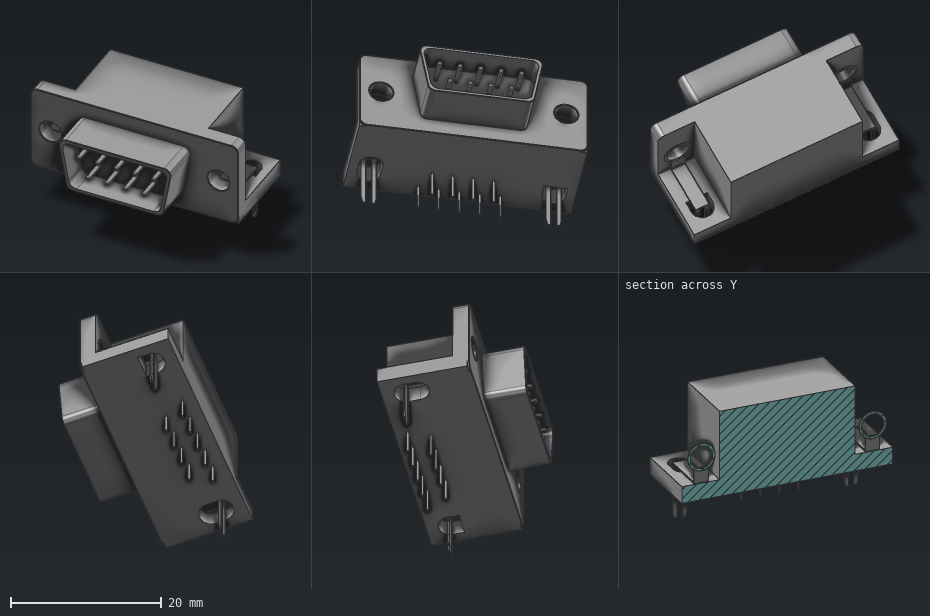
import cadquery as cq
import math


overall_width = 30.8
housing_height = 12.5
plate_front_to_back = 12.65
corner_radius = 1.0
body_width = 19.8
ear_thickness = 2.5
flange_thickness = 2.01

plate_thickness = 0.3
plate_edge_chamfer = 0.1

mount_spacing = 25.0
mount_hole_diameter = 3.2
boss_diameter = 4.0
mid_height = housing_height / 2

shell_length = 5.79
shell_width = 16.56
shell_height = 7.9
shell_corner_radius = 1.0
shell_wall = 0.45
shell_slant = 10.0
shell_edge_chamfer = 0.08
cavity_depth = 3.75
cavity_lower_radius = 1.2

contact_pitch = 2.77
row_spacing = 2.84
upper_row_count = 5
lower_row_count = 4
contact_diameter = 0.6
contact_tip_fillet = 0.2
contact_tip_recess = 0.25
tail_diameter = 0.3
tail_length = 3.9
tail_tip_chamfer = 0.1

slot_width = 3.2
slot_center_spacing = 1.6
slot_back_margin = 1.65
bracket_width = 2.06
sheet_thickness = 0.2
boss_thickness = 0.08
tab_clearance = 0.14
bracket_from_back = 3.15
leg_gap = 0.82
leg_length = 5.4
leg_taper_height = 0.85
leg_taper_inset = 0.2

back_y = plate_front_to_back
flange_front_y = plate_thickness
flange_back_y = flange_front_y + flange_thickness
bracket_back_y = back_y - bracket_from_back
tail_mid_y = bracket_back_y - sheet_thickness / 2
shell_front_y = -shell_length
cavity_floor_y = shell_front_y + cavity_depth
contact_tip_y = shell_front_y + contact_tip_recess
mount_centers = [-mount_spacing / 2, mount_spacing / 2]


def block(x_min, x_max, y_min, y_max, z_min, z_max):
    """Box between the given limits."""
    size = (x_max - x_min, y_max - y_min, z_max - z_min)
    return cq.Workplane("XY").box(*size, centered=False).translate((x_min, y_min, z_min))


def cylinder_along_y(x, z, diameter, y_front, y_back):
    """Cylinder parallel to Y between two Y positions."""
    profile = cq.Workplane("XZ", origin=(x, y_back, z)).circle(diameter / 2)
    return profile.extrude(y_back - y_front)


def make_housing():
    """Full-height body with a front flange and two low ears."""
    half_width = overall_width / 2
    half_body = body_width / 2
    flange = block(-half_width, half_width, flange_front_y, flange_back_y, 0, housing_height)
    flange = flange.edges("|Y and >Z").fillet(corner_radius)
    body = block(-half_body, half_body, flange_back_y, back_y, 0, housing_height)
    ears = block(-half_width, half_width, flange_back_y, back_y, 0, ear_thickness)
    return flange.union(body).union(ears)


def make_front_plate():
    """Thin plate with rounded corners and a chamfered front edge."""
    half_width = overall_width / 2
    plate = block(-half_width, half_width, 0, plate_thickness, 0, housing_height)
    plate = plate.edges("|Y").fillet(corner_radius)
    return plate.faces("<Y").edges().chamfer(plate_edge_chamfer)


def make_shell_profile(inset, lower_radius, y_front, y_back):
    """Rounded D-shaped prism whose sides are moved inward by the inset."""
    slant = math.radians(shell_slant)
    half_height = shell_height / 2
    corner_x = shell_width / 2 - shell_corner_radius
    corner_z = half_height - shell_corner_radius
    side_reach = (shell_corner_radius - inset) / math.cos(slant)

    def side_x(z):
        return corner_x + side_reach + (z - corner_z) * math.tan(slant)

    z_limit = half_height - inset
    upper_x = side_x(z_limit)
    lower_x = side_x(-z_limit)
    points = [(-upper_x, z_limit), (upper_x, z_limit), (lower_x, -z_limit), (-lower_x, -z_limit)]
    sketch_plane = cq.Workplane("XZ", origin=(0, y_back, mid_height))
    prism = sketch_plane.polyline(points).close().extrude(y_back - y_front)
    prism = prism.edges("|Y and >Z").fillet(shell_corner_radius)
    return prism.edges("|Y and <Z").fillet(lower_radius)


def make_shell():
    """Hollow D-shaped shell, open to the front."""
    shell = make_shell_profile(0, shell_corner_radius, shell_front_y, 0)
    shell = shell.faces("<Y").edges().chamfer(shell_edge_chamfer)
    cavity = make_shell_profile(shell_wall, cavity_lower_radius, shell_front_y, cavity_floor_y)
    return shell.cut(cavity)


def add_contact_row(part, count, z, tail_y):
    """Row of mating pins and the solder tails under the housing that belong to them."""
    for index in range(count):
        x = (index - (count - 1) / 2) * contact_pitch
        pin = cylinder_along_y(x, z, contact_diameter, contact_tip_y, cavity_floor_y)
        pin = pin.faces("<Y").edges().fillet(contact_tip_fillet)
        tail = cq.Workplane("XY", origin=(x, tail_y, -tail_length)).circle(tail_diameter / 2)
        tail = tail.extrude(tail_length).faces("<Z").edges().chamfer(tail_tip_chamfer)
        part = part.union(pin).union(tail)
    return part


def add_bosses(part):
    """Flat round bosses around the mounting holes on the back of the flange."""
    boss_back_y = flange_back_y + boss_thickness
    for x in mount_centers:
        part = part.union(cylinder_along_y(x, mid_height, boss_diameter, flange_back_y, boss_back_y))
    return part


def cut_mount_holes(part):
    """Through holes, chamfered at the front face."""
    rim_diameter = mount_hole_diameter + 2 * plate_edge_chamfer
    hole_end_y = flange_back_y + boss_thickness
    for x in mount_centers:
        part = part.cut(cylinder_along_y(x, mid_height, mount_hole_diameter, 0, hole_end_y))
        rim = cq.Workplane("XZ", origin=(x, 0, mid_height)).circle(rim_diameter / 2)
        rim = rim.workplane(offset=-plate_edge_chamfer).circle(mount_hole_diameter / 2).loft()
        part = part.cut(rim)
    return part


def cut_ear_slots(part):
    """Round-ended slot in the left ear; the right slot is square at its front end."""
    slot_radius = slot_width / 2
    rear_center_y = back_y - slot_back_margin - slot_radius
    front_center_y = rear_center_y - slot_center_spacing
    for x in mount_centers:
        slot = block(x - slot_radius, x + slot_radius, front_center_y, rear_center_y, 0, ear_thickness)
        round_centers = [rear_center_y]
        if x < 0:
            round_centers.append(front_center_y)
        for y in round_centers:
            round_end = cq.Workplane("XY", origin=(x, y, 0)).circle(slot_radius)
            slot = slot.union(round_end.extrude(ear_thickness))
        part = part.cut(slot)
    return part


def make_bracket(x):
    """Bent sheet: tab behind the flange, strip on the ear and two legs down through the slot."""
    half_width = bracket_width / 2
    half_gap = leg_gap / 2
    strip_top = ear_thickness + sheet_thickness
    tab_front_y = flange_back_y + tab_clearance
    tab_back_y = tab_front_y + sheet_thickness
    tab_top = mid_height - mount_hole_diameter / 2
    strip = block(-half_width, half_width, tab_front_y, bracket_back_y, ear_thickness, strip_top)
    tab = block(-half_width, half_width, tab_front_y, tab_back_y, ear_thickness, tab_top)
    leg_points = [
        (half_gap, ear_thickness),
        (half_width, ear_thickness),
        (half_width, leg_taper_height - leg_length),
        (half_width - leg_taper_inset, -leg_length),
        (half_gap, -leg_length),
    ]
    leg = cq.Workplane("XZ", origin=(0, bracket_back_y, 0)).polyline(leg_points).close()
    leg = leg.extrude(sheet_thickness)
    bracket = strip.union(tab).union(leg).union(leg.mirror("YZ"))
    return bracket.translate((x, 0, 0))


half_row_spacing = row_spacing / 2
result = make_housing().union(make_front_plate()).union(make_shell())
result = add_contact_row(
    result, upper_row_count, mid_height + half_row_spacing, tail_mid_y + half_row_spacing
)
result = add_contact_row(
    result, lower_row_count, mid_height - half_row_spacing, tail_mid_y - half_row_spacing
)
result = add_bosses(result)
result = cut_mount_holes(result)
result = cut_ear_slots(result)
for mount_x in mount_centers:
    result = result.union(make_bracket(mount_x))